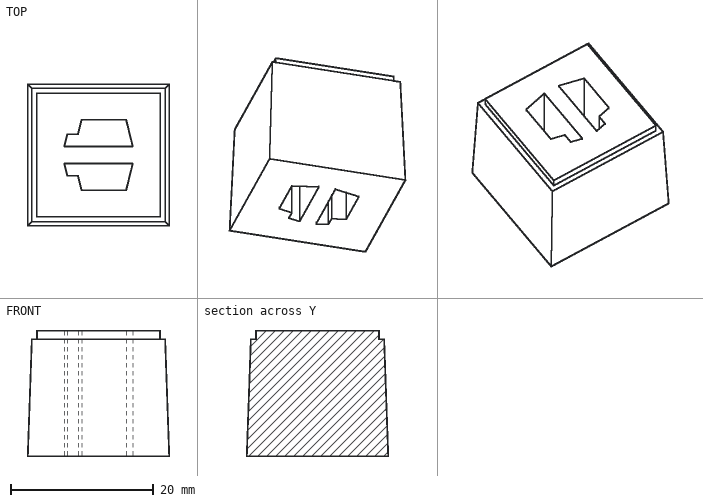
import cadquery as cq
import math

base_side = 19.91
body_height = 16.5
draft_angle = 2.0

total_height = 17.7
cap_side = 17.3
cap_height = total_height - body_height

bar_half_width = 1.2
opening_outer_y = 4.92
opening_half_length = 4.8
opening_end_angle = 14.0
step_y = 2.9
step_length = 1.5


def make_body():
    """Square block whose four sides lean inward by the draft angle."""
    return cq.Workplane("XY").rect(base_side, base_side).extrude(body_height, taper=draft_angle)


def make_cap():
    """Straight-sided plate set in from the top edges of the body."""
    return cq.Workplane("XY").workplane(offset=body_height).rect(cap_side, cap_side).extrude(cap_height)


def opening_end_x(y):
    """Half length of the opening at distance y from the part's X axis."""
    return opening_half_length - (y - bar_half_width) * math.tan(math.radians(opening_end_angle))


def make_opening():
    """Through-cutter on the +Y side: slanted ends, with a step at its -X end."""
    outline = [
        (-opening_half_length, bar_half_width),
        (opening_half_length, bar_half_width),
        (opening_end_x(opening_outer_y), opening_outer_y),
        (step_length - opening_end_x(opening_outer_y), opening_outer_y),
        (step_length - opening_end_x(step_y), step_y),
        (-opening_end_x(step_y), step_y),
    ]
    return cq.Workplane("XY").polyline(outline).close().extrude(total_height)


opening = make_opening()
result = make_body().union(make_cap()).cut(opening).cut(opening.mirror("XZ"))